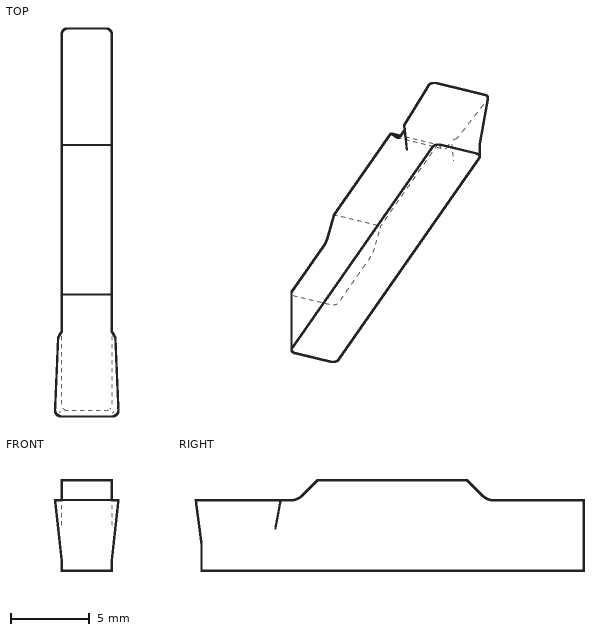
import cadquery as cq
import math

total_length = 24.72
shank_width = 3.21
shank_setback = 0.37
seat_height = 4.5
pad_height = 5.78
pad_start = 7.75
pad_end = 17.28
ramp_angle = 45.0
ramp_foot_radius = 1.0
corner_radius = 0.4

head_width = 4.05
head_back_width = 3.65
head_back = 5.02
shoulder_end = 5.41
shoulder_radius = 0.3
side_clearance = 6.0
front_clearance = 7.5
shoulder_depth = 0.62


def make_shank():
    ramp_run = (pad_height - seat_height) / math.tan(math.radians(ramp_angle))
    pad_foot_start = pad_start - ramp_run
    pad_foot_end = pad_end + ramp_run
    body = (
        cq.Workplane("YZ")
        .moveTo(shank_setback, 0)
        .lineTo(total_length, 0)
        .lineTo(total_length, seat_height)
        .lineTo(pad_foot_end, seat_height)
        .lineTo(pad_end, pad_height)
        .lineTo(pad_start, pad_height)
        .lineTo(pad_foot_start, seat_height)
        .lineTo(shank_setback, seat_height)
        .close()
        .extrude(shank_width / 2, both=True)
    )
    body = body.edges("|Z").fillet(corner_radius)
    for foot_y in (pad_foot_start, pad_foot_end):
        foot = cq.selectors.NearestToPointSelector((0, foot_y, seat_height))
        body = body.edges("|X").edges(foot).fillet(ramp_foot_radius)
    return body


def head_outline(depth):
    """Corner points of the head at the given depth below the seat."""
    inset = depth * math.tan(math.radians(side_clearance))
    front = depth * math.tan(math.radians(front_clearance))
    side_slope = (head_width - head_back_width) / 2 / (head_back - corner_radius)
    front_half = head_width / 2 + side_slope * (corner_radius - front) - inset
    back_half = head_back_width / 2 - inset
    shoulder_slope = (shoulder_end - head_back) / ((head_back_width - shank_width) / 2)
    inner_half = back_half - shoulder_depth
    inner_y = head_back + shoulder_depth * shoulder_slope
    right = [(front_half, front), (back_half, head_back), (inner_half, inner_y)]
    left = [(-x, y) for x, y in reversed(right)]
    return right + left


def make_head():
    head = (
        cq.Workplane("XY")
        .polyline(head_outline(seat_height)).close()
        .workplane(offset=seat_height)
        .polyline(head_outline(0)).close()
        .loft(ruled=True, combine=True)
    )
    for side in (-1, 1):
        front_corner = (side * head_width / 2, 0, seat_height / 2)
        shoulder_ridge = (side * head_back_width / 2, head_back, seat_height / 2)
        for point, radius in ((front_corner, corner_radius), (shoulder_ridge, shoulder_radius)):
            head = head.edges(cq.selectors.NearestToPointSelector(point)).fillet(radius)
    return head


shank = make_shank()
result = shank.union(make_head())